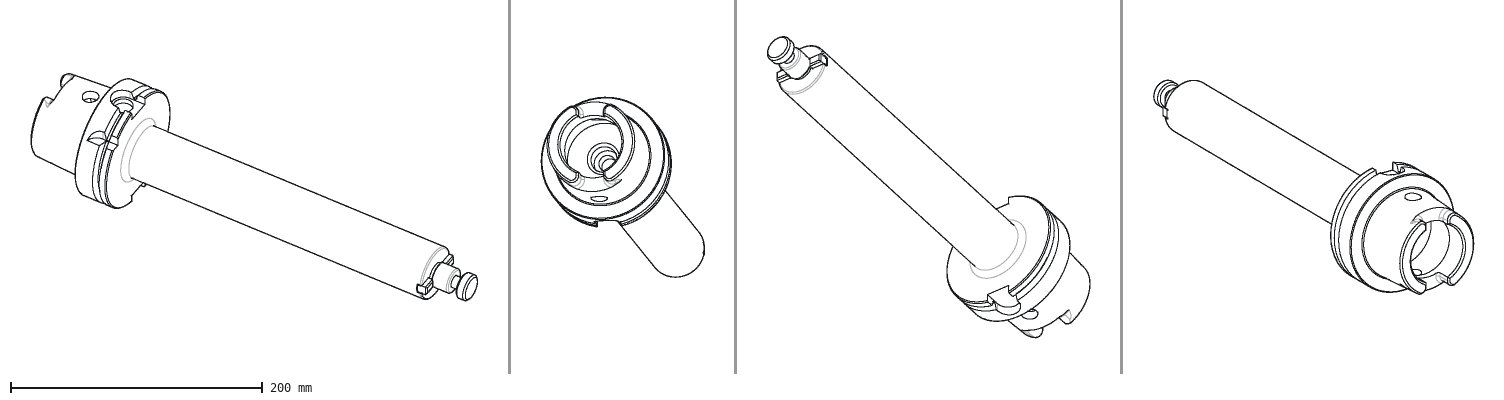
import cadquery as cq
import math


total_length = 387.8
taper_length = 50.0
flange_width = 29.0
flange_end = taper_length + flange_width
arbor_face = 354.5

taper_ratio = 0.1
taper_base_radius = 38.0
taper_base_fillet = 0.97
taper_tip_radius = taper_base_radius - taper_ratio * taper_length / 2
tip_chamfer = 1.5
bore_mouth_radius = 53.0 / 2
bore_mouth_chamfer = 1.5
bore_radius = bore_mouth_radius - bore_mouth_chamfer
bore_lip_depth = 20.5
undercut_radius = 29.0
undercut_slope = 1.0
bore_depth = 52.5
side_hole_radius = 13.0 / 2
side_hole_x = 35.0

socket_rim_radius = 26.0 / 2
socket_radius = 21.0 / 2
socket_depth = 15.5
drill_radius = 13.0 / 2
drill_depth = 11.5
drill_tip_angle = 118.0

slot_half_width = 10.0
slot_edge_radius = 5.5
slot_rim_radius = 35.5
upper_slot_depth = 9.7
lower_slot_depth = 14.5
slot_mouth_chamfer = 1.5
slot_floor_fillet = 2.5

flange_radius = 100.0 / 2
flange_front_chamfer = 0.8
flange_back_chamfer = 0.97
groove_x = taper_length + 19.8
groove_bottom_radius = 44.5
groove_bottom_half_width = 1.0
groove_top_half_width = 3.0

pocket_cutter_radius = 10.0
pocket_x = 65.0
pocket_floor = 42.0
chip_hole_radius = 16.0 / 2
chip_hole_depth = 4.5
notch_floor = 31.0
notch_wall = 31.5

arbor_radius = 45.0 / 2
arbor_fillet = 4.5
arbor_edge_fillet = 1.0
relief_radius = 19.0 / 2
relief_width = 2.7
spigot_radius = 21.0 / 2
spigot_end = 372.0
spigot_edge_fillet = 1.0

screw_radius = 10.0 / 2
screw_start = 353.0
screw_head_radius = 22.0 / 2
screw_head_start = 379.3
screw_head_chamfer = 1.5

key_width = 8.0
key_bottom = 350.5
key_top = 359.0
key_inner = 10.5
key_outer = 21.5
key_chamfer = 1.0


def revolve_about_x(profile):
    return profile.close().revolve(360, (0, 0, 0), (1, 0, 0))


def outer_form():
    profile = (
        cq.Workplane("XY")
        .moveTo(0, 0)
        .lineTo(0, taper_tip_radius - tip_chamfer)
        .lineTo(tip_chamfer, taper_tip_radius)
        .lineTo(taper_length - taper_base_fillet, taper_base_radius)
        .radiusArc((taper_length, taper_base_radius + taper_base_fillet), taper_base_fillet)
        .lineTo(taper_length, flange_radius - flange_front_chamfer)
        .lineTo(taper_length + flange_front_chamfer, flange_radius)
        .lineTo(groove_x - groove_top_half_width, flange_radius)
        .lineTo(groove_x - groove_bottom_half_width, groove_bottom_radius)
        .lineTo(groove_x + groove_bottom_half_width, groove_bottom_radius)
        .lineTo(groove_x + groove_top_half_width, flange_radius)
        .lineTo(flange_end - flange_back_chamfer, flange_radius)
        .lineTo(flange_end, flange_radius - flange_back_chamfer)
        .lineTo(flange_end, arbor_radius + arbor_fillet)
        .radiusArc((flange_end + arbor_fillet, arbor_radius), -arbor_fillet)
        .lineTo(arbor_face - arbor_edge_fillet, arbor_radius)
        .radiusArc((arbor_face, arbor_radius - arbor_edge_fillet), arbor_edge_fillet)
        .lineTo(arbor_face, relief_radius)
        .lineTo(arbor_face + relief_width, relief_radius)
        .lineTo(arbor_face + relief_width, spigot_radius)
        .lineTo(spigot_end - spigot_edge_fillet, spigot_radius)
        .radiusArc((spigot_end, spigot_radius - spigot_edge_fillet), spigot_edge_fillet)
        .lineTo(spigot_end, 0)
    )
    return revolve_about_x(profile)


def bore():
    socket_floor = bore_depth + socket_depth
    drill_end = socket_floor + drill_depth
    drill_tip = drill_end + drill_radius / math.tan(math.radians(drill_tip_angle / 2))
    profile = (
        cq.Workplane("XY")
        .moveTo(0, 0)
        .lineTo(0, bore_mouth_radius)
        .lineTo(bore_mouth_chamfer, bore_radius)
        .lineTo(bore_lip_depth, bore_radius)
        .lineTo(bore_lip_depth + undercut_slope, undercut_radius)
        .lineTo(bore_depth, undercut_radius)
        .lineTo(bore_depth, socket_rim_radius)
        .lineTo(bore_depth + socket_rim_radius - socket_radius, socket_radius)
        .lineTo(socket_floor, socket_radius)
        .lineTo(socket_floor, drill_radius)
        .lineTo(drill_end, drill_radius)
        .lineTo(drill_tip, 0)
    )
    return revolve_about_x(profile)


def side_hole():
    length = 2 * flange_radius
    return (
        cq.Workplane("XY", origin=(side_hole_x, 0, -length / 2))
        .circle(side_hole_radius)
        .extrude(length)
    )


def slot_section(x, widening):
    """Slot outline across the axis; its walls roll over tangentially towards a rim circle."""
    edge_radius = slot_edge_radius - widening
    center_y = slot_half_width + slot_edge_radius
    center_z = math.sqrt((slot_rim_radius - slot_edge_radius) ** 2 - center_y**2)
    roll_end = math.atan2(center_z, center_y)
    roll_middle = (math.pi + roll_end) / 2

    def on_roll(angle):
        return center_y + edge_radius * math.cos(angle), center_z + edge_radius * math.sin(angle)

    wall_top = on_roll(math.pi)
    middle = on_roll(roll_middle)
    end = on_roll(roll_end)
    outside = (end[0] + flange_radius * math.sin(roll_end), end[1] - flange_radius * math.cos(roll_end))
    right_half = (
        cq.Workplane("YZ", origin=(x, 0, 0))
        .moveTo(0, 0)
        .lineTo(wall_top[0], 0)
        .lineTo(*wall_top)
        .threePointArc(middle, end)
        .lineTo(*outside)
        .lineTo(outside[0], flange_radius)
        .lineTo(0, flange_radius)
    )
    return right_half.mirrorY()


def drive_slot(depth):
    return slot_section(0, 0).extrude(depth).faces(">X").edges().fillet(slot_floor_fillet)


def slot_mouth():
    """Chamfer along the open edges of a drive slot."""
    mouth = slot_section(0, slot_mouth_chamfer).wires().val()
    throat = slot_section(slot_mouth_chamfer, 0).wires().val()
    return cq.Workplane(cq.Solid.makeLoft([mouth, throat], True))


def flange_pocket():
    """Round-ended pocket that opens at the back of the flange."""
    height = flange_radius - pocket_floor
    run_out = flange_end - pocket_x
    plane = cq.Workplane("XY", origin=(pocket_x, 0, pocket_floor))
    channel = plane.center(run_out / 2, 0).rect(run_out, 2 * pocket_cutter_radius).extrude(height)
    return plane.circle(pocket_cutter_radius).extrude(height).union(channel)


def chip_hole():
    return (
        cq.Workplane("XY", origin=(pocket_x, 0, pocket_floor - chip_hole_depth))
        .circle(chip_hole_radius)
        .extrude(chip_hole_depth)
    )


def orientation_notch():
    """One-sided notch in the flange rim, with a flat floor, a flat wall and a rounded run-in."""
    run_in_x = pocket_x - pocket_cutter_radius
    return (
        cq.Workplane("XY", origin=(0, 0, notch_floor))
        .moveTo(flange_end, -notch_wall)
        .lineTo(pocket_x, -notch_wall)
        .radiusArc((run_in_x, -notch_wall - pocket_cutter_radius), -pocket_cutter_radius)
        .lineTo(run_in_x, -flange_radius)
        .lineTo(flange_end, -flange_radius)
        .close()
        .extrude(flange_radius - notch_floor)
    )


def make_screw():
    profile = (
        cq.Workplane("XY")
        .moveTo(screw_start, 0)
        .lineTo(screw_start, screw_radius)
        .lineTo(screw_head_start, screw_radius)
        .lineTo(screw_head_start, screw_head_radius - screw_head_chamfer)
        .lineTo(screw_head_start + screw_head_chamfer, screw_head_radius)
        .lineTo(total_length - screw_head_chamfer, screw_head_radius)
        .lineTo(total_length, screw_head_radius - screw_head_chamfer)
        .lineTo(total_length, 0)
    )
    return revolve_about_x(profile)


def make_key(side):
    key = (
        cq.Workplane("XY")
        .box(key_top - key_bottom, key_outer - key_inner, key_width)
        .faces(">X")
        .chamfer(key_chamfer)
    )
    return key.translate(((key_bottom + key_top) / 2, side * (key_inner + key_outer) / 2, 0))


def key_seat(side):
    """Slot across the arbor face that holds one key, open at the arbor's side."""
    length = arbor_radius - key_inner
    return cq.Workplane("XY").box(arbor_face - key_bottom, length, key_width).translate(
        ((key_bottom + arbor_face) / 2, side * (key_inner + length / 2), 0)
    )


def half_turn(shape):
    return shape.rotate((0, 0, 0), (1, 0, 0), 180)


def make_holder(screw):
    pocket = flange_pocket()
    holder = (
        outer_form()
        .cut(bore())
        .cut(side_hole())
        .cut(drive_slot(upper_slot_depth))
        .cut(half_turn(drive_slot(lower_slot_depth)))
        .cut(slot_mouth())
        .cut(half_turn(slot_mouth()))
        .cut(pocket)
        .cut(half_turn(pocket))
        .cut(chip_hole())
        .cut(orientation_notch())
    )
    for side in sides:
        holder = holder.cut(key_seat(side))
    return holder.cut(screw)


sides = (-1, 1)
screw = make_screw()
holder = make_holder(screw)
keys = [make_key(side) for side in sides]

result = cq.Compound.makeCompound([holder.val(), screw.val(), *[key.val() for key in keys]])